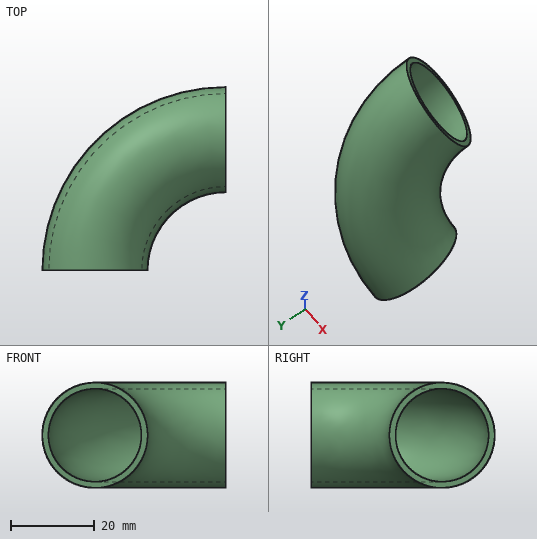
import cadquery as cq

outer_diameter = 25.4
wall_thickness = 1.5
bend_radius = 31.5
bend_angle = 90

inner_diameter = outer_diameter - 2 * wall_thickness


def bent_rod(diameter):
    """Disc in the XZ plane, centred on the origin, swept toward +Y about a vertical axis on its +X side."""
    axis_start = (bend_radius, 0)
    axis_end = (bend_radius, -1)
    return cq.Workplane("XZ").circle(diameter / 2).revolve(bend_angle, axis_start, axis_end)


result = bent_rod(outer_diameter).cut(bent_rod(inner_diameter))